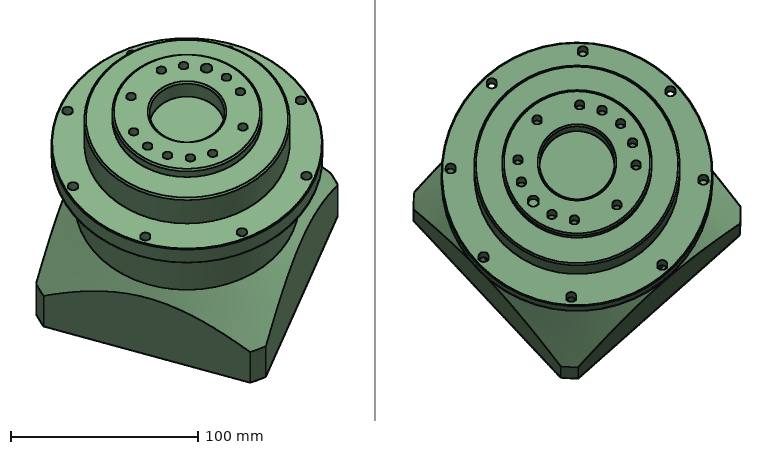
import cadquery as cq
import math

base_side = 130.0
corner_radius = 87.5
cone_top_z = 53.6

neck_radius = 60.0
flange_radius = 72.5
flange_bottom_z = 92.0
flange_top_z = 104.0
boss_radius = 55.0
boss_top_z = 125.0
hub_radius = 40.0
hub_top_z = 131.0
edge_chamfer = 1.0
flange_chamfer = 0.51

bore_radius = 20.0
bore_depth = 12.0

hub_circle_radius = 31.6
hub_pitch_angle = 22.5
screw_hole_positions = (0, 2, 3, 5, 6, 8, 10, 11, 12, 13, 14)
screw_hole_diameter = 5.1
screw_hole_depth = 12.0
drill_tip_angle = 118
pin_hole_position = 4
pin_hole_diameter = 6.1
pin_hole_depth = 8.0

flange_hole_count = 8
flange_hole_circle_radius = 67.5
flange_hole_diameter = 5.5


def disc(radius, bottom_z, top_z):
    """Upright cylinder on the Z axis."""
    return cq.Workplane("XY").workplane(offset=bottom_z).circle(radius).extrude(top_z - bottom_z)


def revolved(profile):
    """Solid of revolution about Z from (radius, z) points."""
    return cq.Workplane("XZ").polyline(profile).close().revolve(360, (0, 0), (0, 1))


def make_base():
    """Square block whose top is a 45 degree cone running out at the rounded corners."""
    cone_bottom_z = cone_top_z - (corner_radius - neck_radius)
    envelope = revolved([
        (0, 0),
        (corner_radius, 0),
        (corner_radius, cone_bottom_z),
        (neck_radius, cone_top_z),
        (0, cone_top_z),
    ])
    block = cq.Workplane("XY").rect(base_side, base_side).extrude(cone_top_z)
    return block.intersect(envelope)


def make_round_body():
    """Neck, flange, boss and hub."""
    neck = disc(neck_radius, cone_top_z, flange_bottom_z)
    flange = disc(flange_radius, flange_bottom_z, flange_top_z).edges("%CIRCLE").chamfer(flange_chamfer)
    boss = disc(boss_radius, flange_top_z, boss_top_z).faces(">Z").chamfer(edge_chamfer)
    hub = disc(hub_radius, boss_top_z, hub_top_z).faces(">Z").chamfer(edge_chamfer)
    return neck.union(flange).union(boss).union(hub)


def make_bore():
    """Cutter for the central bore with its chamfered mouth."""
    floor_z = hub_top_z - bore_depth
    return revolved([
        (0, floor_z),
        (bore_radius, floor_z),
        (bore_radius, hub_top_z - edge_chamfer),
        (bore_radius + edge_chamfer, hub_top_z),
        (0, hub_top_z),
    ])


def make_screw_hole():
    """Cutter for one screw hole on the Z axis, with a conical drill tip."""
    radius = screw_hole_diameter / 2
    floor_z = hub_top_z - screw_hole_depth
    tip_height = radius / math.tan(math.radians(drill_tip_angle / 2))
    return revolved([
        (0, floor_z - tip_height),
        (radius, floor_z),
        (radius, hub_top_z),
        (0, hub_top_z),
    ])


def make_pin_hole():
    """Cutter for the flat-bottomed pin hole on the Z axis."""
    return disc(pin_hole_diameter / 2, hub_top_z - pin_hole_depth, hub_top_z)


def on_circle(cutter, circle_radius, angle):
    """Move a cutter from the Z axis to the given angle (degrees) on a circle."""
    turn = math.radians(angle)
    return cutter.translate((circle_radius * math.cos(turn), circle_radius * math.sin(turn), 0))


result = make_base().union(make_round_body()).cut(make_bore())

for position in screw_hole_positions:
    result = result.cut(on_circle(make_screw_hole(), hub_circle_radius, position * hub_pitch_angle))
result = result.cut(on_circle(make_pin_hole(), hub_circle_radius, pin_hole_position * hub_pitch_angle))

flange_hole = disc(flange_hole_diameter / 2, flange_bottom_z, flange_top_z)
for index in range(flange_hole_count):
    angle = index * 360 / flange_hole_count
    result = result.cut(on_circle(flange_hole, flange_hole_circle_radius, angle))